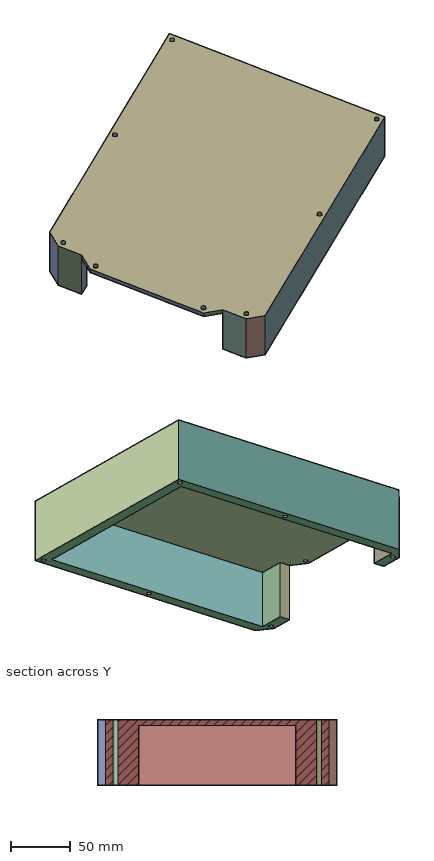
import cadquery as cq

width = 200.0
length = 250.0
height = 55.0
wall = 10.0
lid_thickness = 5.0

tongue_reach = 10.0
corner_cut_x = 12.8
corner_cut_y = 10.0
opening_width = 131.0
tongue_cut_x = 12.8

hole_diameter = 4.0
corner_hole_x = 85.0
tongue_hole_x = 50.0

back_y = length / 2
tongue_y = -length / 2
front_y = tongue_y + tongue_reach
corner_y = front_y + corner_cut_y
side_x = width / 2
lid_bottom = height - lid_thickness


def make_body():
    """Solid block with both front corners cut off."""
    corner_x = side_x - corner_cut_x
    outline = [
        (-side_x, back_y),
        (-side_x, corner_y),
        (-corner_x, front_y),
        (corner_x, front_y),
        (side_x, corner_y),
        (side_x, back_y),
    ]
    return cq.Workplane("XY").polyline(outline).close().extrude(height)


def make_tongue():
    """Tapered lid extension in front of the opening."""
    root_x = opening_width / 2
    tip_x = root_x - tongue_cut_x
    outline = [
        (-root_x, front_y),
        (-tip_x, tongue_y),
        (tip_x, tongue_y),
        (root_x, front_y),
    ]
    return cq.Workplane("XY").workplane(offset=lid_bottom).polyline(outline).close().extrude(lid_thickness)


def make_cavity():
    """Rectangular space between the walls, below the lid."""
    inner_length = back_y - front_y - 2 * wall
    return (
        cq.Workplane("XY")
        .center(0, (back_y + front_y) / 2)
        .rect(width - 2 * wall, inner_length)
        .extrude(lid_bottom)
    )


def make_opening():
    """Full-height gap through the front wall."""
    return (
        cq.Workplane("XY")
        .center(0, front_y + wall / 2)
        .rect(opening_width, wall)
        .extrude(lid_bottom)
    )


def make_holes():
    """Vertical through holes, mirrored left and right."""
    edge_inset = wall / 2
    side_hole_x = side_x - edge_inset
    side_middle_y = (back_y + corner_y) / 2
    right_holes = [
        (side_hole_x, back_y - edge_inset),
        (side_hole_x, side_middle_y),
        (corner_hole_x, front_y + edge_inset),
        (tongue_hole_x, tongue_y + tongue_reach / 2),
    ]
    centres = [(side * x, y) for x, y in right_holes for side in (-1, 1)]
    return cq.Workplane("XY").pushPoints(centres).circle(hole_diameter / 2).extrude(height)


housing = make_body().cut(make_cavity()).cut(make_opening())
result = housing.union(make_tongue()).cut(make_holes())